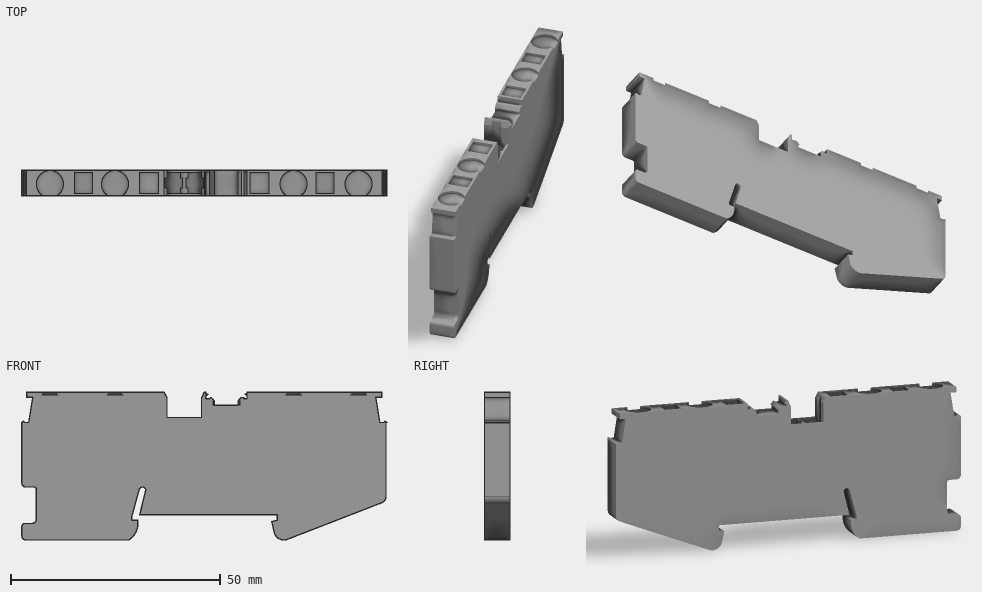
import math

import cadquery as cq

length = 87.3
height = 35.4
thickness = 6.15
ridge_overhang = 0.15
wall_right = length - ridge_overhang
mid_x = length / 2
half_thickness = thickness / 2

skin_thickness = 0.45
skin_front_y = half_thickness - skin_thickness

lip_inset = 1.15
lip_bottom = 34.1
neck_top_inset = 2.6
neck_bottom_inset = 1.65
shoulder_z = 28.15
shoulder_ridge_height = 0.3
shoulder_ridge_inset = 0.4
shoulder_ridge_foot_inset = 0.8

end_notch_top = 12.65
end_notch_depth = 3.45
foot_top = 4.0
outer_corner_radius = 1.0
foot_edge_radius = 0.85
notch_lower_radius = 1.0
notch_upper_radius = 0.5

rail_seat_z = 6.05
claw_top_z = 4.75
flex_slot_top = 12.65
flex_slot_shoulder = 12.05
flex_slot_left_bottom = (26.35, 5.6)
flex_slot_left_top = 28.1
flex_slot_right_top = 29.65
flex_slot_mouth_x = 28.2
left_claw_tip_x = 27.8
left_claw_side_z = 3.6
left_claw_mid = (27.1, 1.5)
left_claw_base_x = 25.6
rail_right_x = 61.1
right_claw_tip = (59.75, 4.45)
right_claw_center_x = 62.7
right_claw_radius = 2.4
right_claw_lean = math.radians(13)
ramp_angle = math.radians(21.2)
ramp_corner_radius = 1.6

jumper_left = 34.75
jumper_right = 42.95
jumper_floor = 29.35
jumper_lead_in_x = 34.05
jumper_lead_in_z = 34.1
post_shoulder_z = 33.9
post_tip_left = 43.65
post_tip_right = 44.05

ledge_left = 44.0
ledge_right = 53.85
ledge_z = 33.85
lug_z = 34.15
lug_left_start = 44.85
lug_left_peak = 45.25
lug_right_start = 53.15
lug_right_peak = 52.5
channel_lip_z = 33.3
channel_floor = 32.25
channel_lip_left = 46.1
channel_lip_right = 51.7
undercut_left = 45.8
undercut_right = 52.2

bead_bottom_z = 34.5
bead_peak_z = 34.85
bead_top_z = 35.15
bead_left_peak = 44.6
bead_right_peak = 53.4
bead_root_depth = 0.1

socket_depth = 1.0
socket_length = 5.05
socket_arm_width = 2.4
socket_arm_reach = 0.5
socket_left_end = 37.95
socket_right_start = 39.75

recess_depth = 0.75
round_recess_radius = 3.25
round_recess_y = -0.25
round_recess_insets = (6.75, 22.3)
window_length = 5.0
window_spans = ((12.65, 16.95), (28.15, 32.75))


def box(x_start, x_end, y_start, y_end, z_start, z_end):
    size = (x_end - x_start, y_end - y_start, z_end - z_start)
    return cq.Workplane("XY").box(*size, centered=False).translate((x_start, y_start, z_start))


def prism(outline, y_start, y_end):
    """Extrude a closed XZ outline from y_start to y_end."""
    return outline.close().extrude(y_start - y_end).translate((0, y_start, 0))


def mirrored(x):
    return 2 * mid_x - x


def claw_point(angle_from_down):
    """Point on the round tip of the right claw, by angle from straight down."""
    x = right_claw_center_x + right_claw_radius * math.sin(angle_from_down)
    z = right_claw_radius * (1 - math.cos(angle_from_down))
    return (x, z)


def make_body():
    claw_side_angle = right_claw_lean - math.pi / 2
    ramp_start = claw_point(ramp_angle)
    ramp_end_z = ramp_start[1] + (wall_right - ramp_start[0]) * math.tan(ramp_angle)
    outline = (
        cq.Workplane("XZ")
        .moveTo(0, 0)
        .lineTo(left_claw_base_x, 0)
        .threePointArc(left_claw_mid, (left_claw_tip_x, left_claw_side_z))
        .lineTo(left_claw_tip_x, claw_top_z)
        .lineTo(flex_slot_left_bottom[0], claw_top_z)
        .lineTo(*flex_slot_left_bottom)
        .lineTo(flex_slot_left_top, flex_slot_shoulder)
        .threePointArc(
            ((flex_slot_left_top + flex_slot_right_top) / 2, flex_slot_top),
            (flex_slot_right_top, flex_slot_shoulder),
        )
        .lineTo(flex_slot_mouth_x, rail_seat_z)
        .lineTo(rail_right_x, rail_seat_z)
        .lineTo(rail_right_x, claw_top_z)
        .lineTo(*right_claw_tip)
        .lineTo(*claw_point(claw_side_angle))
        .threePointArc(claw_point((claw_side_angle + ramp_angle) / 2), ramp_start)
        .lineTo(wall_right, ramp_end_z)
        .lineTo(wall_right, shoulder_z - ridge_overhang)
        .lineTo(length, shoulder_z)
        .lineTo(mirrored(shoulder_ridge_inset), shoulder_z + shoulder_ridge_height)
        .lineTo(mirrored(shoulder_ridge_foot_inset), shoulder_z)
        .lineTo(mirrored(neck_bottom_inset), shoulder_z)
        .lineTo(mirrored(neck_top_inset), lip_bottom)
        .lineTo(mirrored(lip_inset), lip_bottom)
        .lineTo(mirrored(lip_inset), height)
        .lineTo(ledge_right, height)
        .lineTo(ledge_right, ledge_z)
        .lineTo(lug_right_start, ledge_z)
        .lineTo(lug_right_start, lug_z)
        .lineTo(lug_right_peak, lug_z)
        .lineTo(channel_lip_right, channel_lip_z)
        .lineTo(undercut_right, channel_lip_z)
        .lineTo(undercut_right, channel_floor)
        .lineTo(undercut_left, channel_floor)
        .lineTo(undercut_left, channel_lip_z)
        .lineTo(channel_lip_left, channel_lip_z)
        .lineTo(lug_left_peak, lug_z)
        .lineTo(lug_left_start, ledge_z)
        .lineTo(ledge_left, ledge_z)
        .lineTo(post_tip_right, height)
        .lineTo(post_tip_left, height)
        .lineTo(jumper_right, post_shoulder_z)
        .lineTo(jumper_right, jumper_floor)
        .lineTo(jumper_left, jumper_floor)
        .lineTo(jumper_left, jumper_lead_in_z)
        .lineTo(jumper_lead_in_x, height)
        .lineTo(lip_inset, height)
        .lineTo(lip_inset, lip_bottom)
        .lineTo(neck_top_inset, lip_bottom)
        .lineTo(neck_bottom_inset, shoulder_z)
        .lineTo(shoulder_ridge_foot_inset, shoulder_z)
        .lineTo(shoulder_ridge_inset, shoulder_z + shoulder_ridge_height)
        .lineTo(0, shoulder_z)
        .lineTo(0, end_notch_top)
        .lineTo(end_notch_depth, end_notch_top)
        .lineTo(end_notch_depth, foot_top)
        .lineTo(0, foot_top)
    )
    body = prism(outline, -half_thickness, half_thickness)
    rounded_corners = (
        (0, 0, outer_corner_radius),
        (0, foot_top, foot_edge_radius),
        (end_notch_depth, foot_top, notch_lower_radius),
        (end_notch_depth, end_notch_top, notch_upper_radius),
        (0, end_notch_top, outer_corner_radius),
        (wall_right, ramp_end_z, ramp_corner_radius),
    )
    for x, z, radius in rounded_corners:
        corner = cq.selectors.NearestToPointSelector((x, 0, z))
        body = body.edges(corner).fillet(radius)
    return body


def make_skin_fills():
    """Snap beads and straight channel walls that only the back skin has."""
    fills = cq.Workplane("XY")
    for side_x, peak_x in ((ledge_left, bead_left_peak), (ledge_right, bead_right_peak)):
        root_x = side_x + math.copysign(bead_root_depth, side_x - peak_x)
        bead = (
            cq.Workplane("XZ")
            .moveTo(root_x, bead_bottom_z)
            .lineTo(side_x, bead_bottom_z)
            .lineTo(peak_x, bead_peak_z)
            .lineTo(side_x, bead_top_z)
            .lineTo(root_x, bead_top_z)
        )
        fills = fills.add(prism(bead, skin_front_y, half_thickness))
    for x_start, x_end in ((undercut_left, channel_lip_left), (channel_lip_right, undercut_right)):
        wall = box(x_start, x_end, skin_front_y, half_thickness, channel_floor, channel_lip_z)
        fills = fills.add(wall)
    return fills.vals()


def make_bar_rounding():
    """Cutter that gives the bar a convex top, rising from the left socket's floor to the right edge."""
    half_length = socket_length / 2
    bar_width = socket_right_start - socket_left_end
    bottom = jumper_floor - socket_depth
    radius = (bar_width**2 + socket_depth**2) / (2 * socket_depth)
    bar = box(socket_left_end, socket_right_start, -half_length, half_length, bottom, jumper_floor)
    cylinder = cq.Workplane("XZ").circle(radius).extrude(socket_length)
    return bar.cut(cylinder.translate((socket_right_start, half_length, jumper_floor - radius)))


def make_sockets():
    """Two sockets in the jumper notch floor, with a bar left standing between them."""
    bottom = jumper_floor - socket_depth
    half_length = socket_length / 2
    half_arm = socket_arm_width / 2
    bar_left = socket_left_end + socket_arm_reach
    bar_right = socket_right_start - socket_arm_reach
    return [
        box(jumper_left, socket_left_end, -half_length, half_length, bottom, jumper_floor),
        box(socket_right_start, jumper_right, -half_length, half_length, bottom, jumper_floor),
        box(jumper_left - socket_arm_reach, bar_left, -half_arm, half_arm, bottom, jumper_floor),
        box(bar_right, jumper_right + socket_arm_reach, -half_arm, half_arm, bottom, jumper_floor),
        box(jumper_left - socket_arm_reach, jumper_right + socket_arm_reach,
            -half_arm, half_arm, jumper_floor, height),
        make_bar_rounding(),
    ]


def make_top_recesses():
    floor = height - recess_depth
    tools = []
    for inset in round_recess_insets:
        for x in (inset, mirrored(inset)):
            disc = cq.Workplane("XY").circle(round_recess_radius).extrude(recess_depth)
            tools.append(disc.translate((x, round_recess_y, floor)))
    for near, far in window_spans:
        for x_start, x_end in ((near, far), (mirrored(far), mirrored(near))):
            tools.append(box(x_start, x_end, -window_length / 2, window_length / 2, floor, height))
    return tools


result = make_body()
for fill in make_skin_fills():
    result = result.union(cq.Workplane(fill))
for tool in make_sockets() + make_top_recesses():
    result = result.cut(tool)